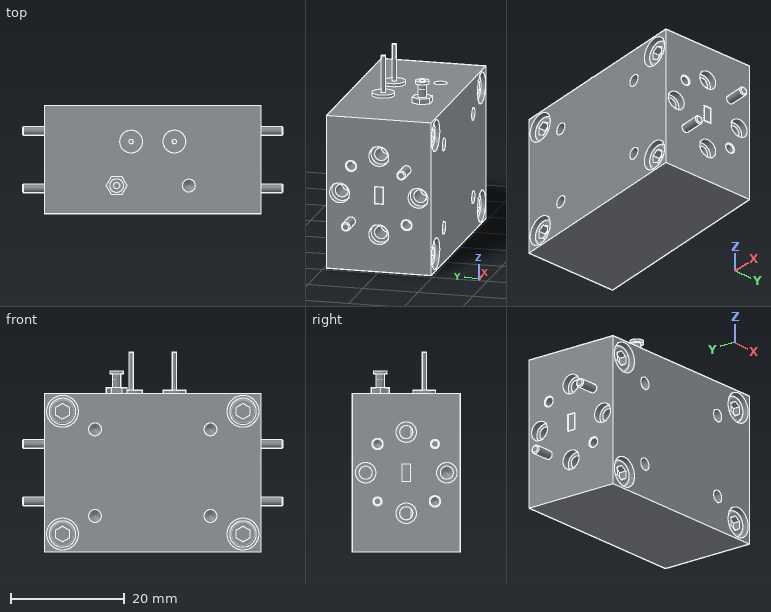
import cadquery as cq
import math

BODY_X = 38.1
BODY_Y = 19.05
BODY_Z = 27.94
TOP = BODY_Z / 2
FRONT = -BODY_Y / 2
DRILL_POINT_ANGLE = 118.0

BOLT_CIRCLE_RADIUS = 7.14
BOLT_BORE_DIAMETER = 3.6
BOLT_BORE_DEPTH = 1.5
BOLT_HOLE_DIAMETER = 2.3
BOLT_HOLE_DEPTH = 6.0
SPLIT_PLANE_Y = -0.8
DOWEL_DIAMETER = 1.5875
DOWEL_LENGTH = 3.875
DOWEL_CHAMFER = 0.2
SOCKET_DIAMETER = 1.7
SOCKET_DEPTH = 4.0
SOCKET_CHAMFER = 0.15
CHAMFER_ANGLE = 45
PORT_Y = 1.55
PORT_Z = 3.1
PORT_DEPTH = 0.2

SCREW_X = 15.875
SCREW_Z = 10.795
SCREW_BORE_DIAMETER = 5.6
SCREW_BORE_DEPTH = 3.5
HEAD_DIAMETER = 4.65
HEAD_RECESS = 0.65
HEAD_FILLET = 0.3
HEX_KEY_FLATS = 2.38
HEX_KEY_DEPTH = 1.4
HEX_KEY_TURN = 30

TAP_DIAMETER = 2.26
TAP_DEPTH = 6.0
MOUNT_X = 10.16
MOUNT_Z = 7.62

TERMINAL_ROW_Y = -4.57
TERMINAL_X = 6.35
FEED_X = 3.81
FEED_Y = 3.175
FEED_FLANGE_DIAMETER = 4.0
FEED_FLANGE_HEIGHT = 0.55
FEED_PIN_DIAMETER = 0.78
FEED_PIN_HEIGHT = 7.24
POST_HEX_FLATS = 3.18
POST_HEX_HEIGHT = 1.0
POST_DIAMETER = 1.52
POST_HEIGHT = 3.92
POST_CAP_DIAMETER = 2.4
POST_CAP_THICKNESS = 0.5
POST_HOLE_DIAMETER = 1.1
POST_HOLE_DEPTH = 1.5


def across_corners(flats):
    return flats / math.cos(math.pi / 6)


def drill_point(diameter):
    """Cone left by a drill tip, base at Z=0 and pointing down."""
    radius = diameter / 2
    height = radius / math.tan(math.radians(DRILL_POINT_ANGLE / 2))
    profile = cq.Workplane("XZ").polyline([(0, 0), (radius, 0), (0, -height)]).close()
    return profile.revolve(360, (0, 0), (0, 1))


def drilled_hole(diameter, depth):
    """Blind hole going down from Z=0 and ending in a drill point."""
    bore = cq.Workplane("XY").circle(diameter / 2).extrude(-depth)
    return bore.union(drill_point(diameter).translate((0, 0, -depth)))


def on_front(shape):
    """Turn a shape modelled about +Z so that it faces -Y on the front face."""
    return shape.rotate((0, 0, 0), (1, 0, 0), 90).translate((0, FRONT, 0))


def on_left(shape):
    """Turn a shape modelled about +Z so that it faces -X on the left end."""
    return shape.rotate((0, 0, 0), (0, 1, 0), -90).translate((-BODY_X / 2, 0, 0))


def on_both_ends(shape):
    """A left-end shape together with its copy half a turn about Z."""
    return [shape, shape.rotate((0, 0, 0), (0, 0, 1), 180)]


def flange_bolt_hole(y, z):
    """Counterbored hole with a flat bottom beyond the split plane and a drill point in front of it."""
    counterbore = cq.Workplane("XY").circle(BOLT_BORE_DIAMETER / 2).extrude(-BOLT_BORE_DEPTH)
    hole = on_left(counterbore.union(drilled_hole(BOLT_HOLE_DIAMETER, BOLT_HOLE_DEPTH))).translate((0, y, z))
    undrilled_corner = (-BODY_X / 2 + BOLT_HOLE_DEPTH, SPLIT_PLANE_Y, -BODY_Z / 2)
    undrilled = cq.Workplane("XY").box(BODY_X, BODY_Y, BODY_Z, centered=False).translate(undrilled_corner)
    return hole.cut(undrilled)


def dowel_pin(y, z):
    pin = cq.Workplane("XY").circle(DOWEL_DIAMETER / 2).extrude(DOWEL_LENGTH)
    return on_left(pin.faces(">Z").chamfer(DOWEL_CHAMFER)).translate((0, y, z))


def dowel_socket(y, z):
    mouth_radius = SOCKET_DIAMETER / 2 + SOCKET_CHAMFER
    mouth = cq.Workplane("XY").circle(mouth_radius).extrude(-SOCKET_CHAMFER, taper=CHAMFER_ANGLE)
    return on_left(drilled_hole(SOCKET_DIAMETER, SOCKET_DEPTH).union(mouth)).translate((0, y, z))


def add_flanges(body):
    """Bolt holes on the axes, dowels and sockets on the diagonals, and the waveguide port."""
    r = BOLT_CIRCLE_RADIUS
    diagonal = r / math.sqrt(2)
    port = on_left(cq.Workplane("XY").rect(PORT_Z, PORT_Y).extrude(-PORT_DEPTH))
    cuts = [flange_bolt_hole(y, z) for y, z in [(r, 0), (-r, 0), (0, r), (0, -r)]]
    cuts += [dowel_socket(diagonal, diagonal), dowel_socket(-diagonal, -diagonal), port]
    for cut in cuts:
        for tool in on_both_ends(cut):
            body = body.cut(tool)
    for pin in [dowel_pin(-diagonal, diagonal), dowel_pin(diagonal, -diagonal)]:
        for copy in on_both_ends(pin):
            body = body.union(copy)
    return body


def screw_clearance():
    """Empty space of a corner bore: above and around the screw head, and inside its hex socket."""
    recess = cq.Workplane("XY").circle(SCREW_BORE_DIAMETER / 2).extrude(-SCREW_BORE_DEPTH)
    bore_floor = cq.Workplane("XY").workplane(offset=-SCREW_BORE_DEPTH)
    head = bore_floor.circle(HEAD_DIAMETER / 2).extrude(SCREW_BORE_DEPTH - HEAD_RECESS)
    head = head.faces(">Z").edges().fillet(HEAD_FILLET)
    key = cq.Workplane("XY").workplane(offset=-HEAD_RECESS).polygon(6, across_corners(HEX_KEY_FLATS))
    key = key.extrude(-HEX_KEY_DEPTH).rotate((0, 0, 0), (0, 0, 1), HEX_KEY_TURN)
    return recess.cut(head.cut(key))


def cut_front_face(body):
    for sx in (-1, 1):
        for sz in (-1, 1):
            body = body.cut(on_front(screw_clearance()).translate((sx * SCREW_X, 0, sz * SCREW_Z)))
            mount = on_front(drilled_hole(TAP_DIAMETER, TAP_DEPTH))
            body = body.cut(mount.translate((sx * MOUNT_X, 0, sz * MOUNT_Z)))
    return body


def feedthrough():
    flange = cq.Workplane("XY").circle(FEED_FLANGE_DIAMETER / 2).extrude(FEED_FLANGE_HEIGHT)
    return flange.union(cq.Workplane("XY").circle(FEED_PIN_DIAMETER / 2).extrude(FEED_PIN_HEIGHT))


def ground_post():
    post = cq.Workplane("XY").polygon(6, across_corners(POST_HEX_FLATS)).extrude(POST_HEX_HEIGHT)
    post = post.union(cq.Workplane("XY").circle(POST_DIAMETER / 2).extrude(POST_HEIGHT))
    cap = cq.Workplane("XY").workplane(offset=POST_HEIGHT).circle(POST_CAP_DIAMETER / 2)
    post = post.union(cap.extrude(-POST_CAP_THICKNESS))
    bore = cq.Workplane("XY").workplane(offset=POST_HEIGHT).circle(POST_HOLE_DIAMETER / 2)
    return post.cut(bore.extrude(-POST_HOLE_DEPTH))


def add_top_terminals(body):
    for x in (-FEED_X, FEED_X):
        body = body.union(feedthrough().translate((x, FEED_Y, TOP)))
    body = body.union(ground_post().translate((-TERMINAL_X, TERMINAL_ROW_Y, TOP)))
    spare_hole = drilled_hole(TAP_DIAMETER, TAP_DEPTH)
    return body.cut(spare_hole.translate((TERMINAL_X, TERMINAL_ROW_Y, TOP)))


block = cq.Workplane("XY").box(BODY_X, BODY_Y, BODY_Z)
result = add_top_terminals(cut_front_face(add_flanges(block)))